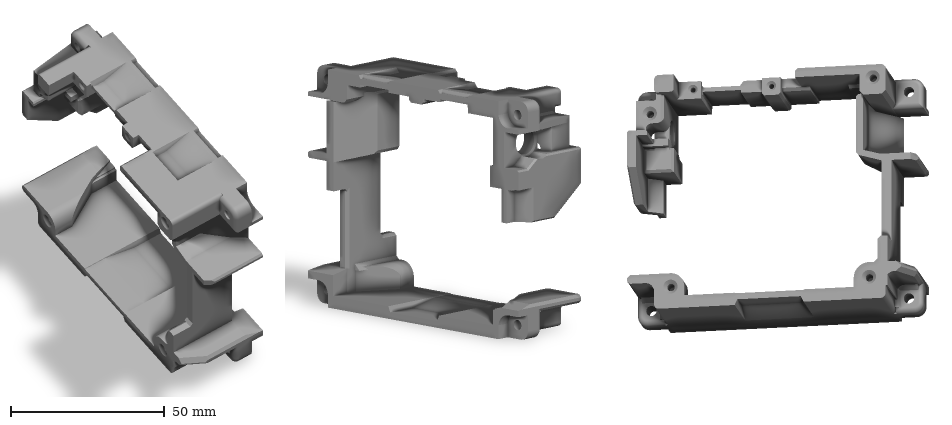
import cadquery as cq

WIDTH = 94.4
DEPTH = 29.6
HEIGHT = 78.9

TAB = 9.0
TAB_HEIGHT = 9.9
TAB_FRONT = 18.7
RECESS_FRONT = 25.2
RECESS_HEIGHT = 8.5
CORNER_RADIUS = 3.1
TAB_HOLE = 4.6
TAB_HOLE_DIAMETER = 3.4
EDGE_RADIUS = 1.5
INNER_BEVEL = 1.5

RAIL_UNDERSIDE = 75.0
THIN_UNDERSIDE = 75.9
MIDDLE_FRONT = 12.1
BOSS_FRONT = 9.8
FULL_RAIL_LEFT = 55.5
SMALL_BOSS_Z = 76.2
MIDDLE_BOSS_X = 45.9
MIDDLE_BOSS_WIDTH = 6.2
SMALL_BOSS_UNDERSIDE = 73.1
WINDOW_WIDTH = 14.4
WINDOW_FLOOR = 77.3
WINDOW_SIDE_SLOPE = 1.2
WINDOW_LEFTS = (21.9, 57.4)
NOTCH_LENGTH = 2.0
NOTCH_DEPTH = 1.1

BOTTOM_THICKNESS = 4.2
FLANGE_UNDERSIDE = 8.9
FLANGE_FILLET = 3.0
FLANGE_BEVEL = 0.9
FLANGE_DROP = 1.2
POST_WIDTH = 11.3
BOSS_SHOULDER = 19.6
JOG_LEFT = 35.6
JOG_RIGHT = 58.3
JOG_DEPTH = 1.9
JOG_BEVEL = 0.85
BOTTOM_BOSS_Z = 7.3
LEFT_BOSS_X = 14.35
LEFT_BOSS_RADIUS = 4.5
RIGHT_BOSS_X = 80.0
RIGHT_BOSS_RADIUS = 5.0

WALL_LEFT = 82.8
WALL_RIGHT = 86.1
WALL_FRONT = 7.55
WALL_BACK = 23.2
FOOT_TOP = 21.0
SHELF_BOTTOM = 48.5
SHELF_TOP = 50.8

BRACKET_BOTTOM = 38.9
BRACKET_TOP = 60.6
BRACKET_THICKNESS = 3.0
FLOOR_BOTTOM = 69.1
FLOOR_TOP = 71.3
BODY_LEFT = 2.5
BODY_RIGHT = 11.5
BODY_FRONT = 2.9
HOLE_WALL_LEFT = 6.5
HOLE_WALL_FRONT = 13.9

LARGE_SCREWS = (
    (7.0, 66.8, BODY_FRONT),
    (81.2, 74.6, 0),
    (LEFT_BOSS_X, BOTTOM_BOSS_Z, 0),
    (RIGHT_BOSS_X, BOTTOM_BOSS_Z, 0),
)
LARGE_MOUTH = 4.7
LARGE_BORE = 2.5
SMALL_BOSS_CENTERS = (19.9, MIDDLE_BOSS_X)
SMALL_MOUTH = 3.2
SMALL_BORE = 1.7
SCREW_DEPTH = 5.7


def box(x0, x1, y0, y1, z0, z1):
    return cq.Workplane("XY").box(x1 - x0, y1 - y0, z1 - z0, centered=False).translate((x0, y0, z0))


def along_x(points, x0, x1):
    """Prism with a (Y, Z) outline."""
    return cq.Workplane("YZ").polyline(points).close().extrude(x1 - x0).translate((x0, 0, 0))


def along_y(points, y0, y1):
    """Prism with an (X, Z) outline."""
    return cq.Workplane("XZ").polyline(points).close().extrude(y0 - y1).translate((0, y0, 0))


def along_z(points, z0, z1):
    """Prism with an (X, Y) outline."""
    return cq.Workplane("XY").polyline(points).close().extrude(z1 - z0).translate((0, 0, z0))


def cylinder_y(x, z, radius, y0, y1):
    return cq.Workplane("XZ").center(x, z).circle(radius).extrude(y0 - y1).translate((0, y0, 0))


def to_corner(shape, right, top):
    """Move a shape from the lower left corner to another corner of the frame."""
    if right:
        shape = shape.mirror("YZ").translate((WIDTH, 0, 0))
    if top:
        shape = shape.mirror("XY").translate((0, 0, HEIGHT))
    return shape


def corner_tab(free_height):
    """Tab whose front edges are rounded where they lie below free_height."""
    tab = box(0, TAB + EDGE_RADIUS, TAB_FRONT, DEPTH, 0, TAB_HEIGHT)
    tab = tab.edges("|Y and <X and <Z").fillet(CORNER_RADIUS)
    front_edges = cq.selectors.BoxSelector(
        (-0.9, TAB_FRONT - 0.9, -0.9), (TAB - 0.9, TAB_FRONT + 0.1, free_height)
    )
    return tab.faces("<Y").edges(front_edges).fillet(EDGE_RADIUS)


def inner_bevel():
    """Bevels where the front face of a bottom tab meets the rail end and the flange."""
    bevel_front = TAB_FRONT - INNER_BEVEL
    bevel_top = FLANGE_UNDERSIDE
    side = [(TAB, bevel_front), (TAB, TAB_FRONT), (TAB - INNER_BEVEL, TAB_FRONT)]
    upper = [(bevel_front, bevel_top), (TAB_FRONT, bevel_top), (TAB_FRONT, bevel_top - INNER_BEVEL)]
    return along_z(side, INNER_BEVEL, bevel_top).union(along_x(upper, INNER_BEVEL, TAB))


def corner_cut():
    """Recess behind a tab, rounded about its hole, with the hole itself."""
    recess = (
        cq.Workplane("XZ")
        .lineTo(TAB, 0)
        .lineTo(TAB, TAB_HOLE)
        .radiusArc((TAB_HOLE, RECESS_HEIGHT), -(TAB - TAB_HOLE))
        .lineTo(0, RECESS_HEIGHT)
        .close()
        .extrude(-(DEPTH - RECESS_FRONT))
        .translate((0, RECESS_FRONT, 0))
    )
    return recess.union(cylinder_y(TAB_HOLE, TAB_HOLE, TAB_HOLE_DIAMETER / 2, 0, DEPTH))


def end_rounding():
    """Rounding removed from the outer edge of a rail where it meets the open corner pocket."""
    profile = (
        cq.Workplane("XZ")
        .moveTo(TAB, 0)
        .lineTo(TAB + EDGE_RADIUS, 0)
        .radiusArc((TAB, EDGE_RADIUS), EDGE_RADIUS)
        .close()
    )
    return profile.extrude(-(TAB_FRONT + EDGE_RADIUS))


def screw_hole(x, z, front, mouth_diameter, bore_diameter):
    """Blind hole along Y with a conical mouth."""
    cone_depth = (mouth_diameter - bore_diameter) / 2
    profile = [
        (0, 0),
        (mouth_diameter / 2, 0),
        (bore_diameter / 2, cone_depth),
        (bore_diameter / 2, SCREW_DEPTH),
        (0, SCREW_DEPTH + bore_diameter / 2),
    ]
    hole = cq.Workplane("XY").polyline(profile).close().revolve(360, (0, 0, 0), (0, 1, 0))
    return hole.translate((x, front, z))


def top_rail():
    wall_end = 15.4
    boss_end = 22.7
    boss_left = MIDDLE_BOSS_X - MIDDLE_BOSS_WIDTH / 2
    boss_right = MIDDLE_BOSS_X + MIDDLE_BOSS_WIDTH / 2
    block_left = 76.9
    block_bottom = 68.9
    ramp_back = 13.2
    rail = box(TAB, wall_end, 0, DEPTH, SMALL_BOSS_UNDERSIDE, HEIGHT).edges("|Y and <Z").fillet(0.9)
    rail = rail.union(box(wall_end - 0.9, boss_end, BOSS_FRONT, DEPTH, SMALL_BOSS_UNDERSIDE, HEIGHT))
    rail = rail.union(box(boss_end, WIDTH - TAB, MIDDLE_FRONT, DEPTH, RAIL_UNDERSIDE, HEIGHT))
    middle_boss = box(boss_left, boss_right, BOSS_FRONT, DEPTH, SMALL_BOSS_UNDERSIDE, HEIGHT)
    rail = rail.union(middle_boss.edges("|Y and <Z").chamfer(0.8))
    full_depth = box(FULL_RAIL_LEFT, WIDTH - TAB, 0, MIDDLE_FRONT, THIN_UNDERSIDE, HEIGHT)
    rail = rail.union(full_depth.edges("|Y and <X and >Z").chamfer(0.9))
    screw_block = box(block_left, WIDTH - TAB, 0, DEPTH, block_bottom, HEIGHT)
    rail = rail.union(screw_block.edges("|Y and <Z").chamfer(1.2))
    ramp = [(MIDDLE_FRONT, RAIL_UNDERSIDE), (MIDDLE_FRONT, THIN_UNDERSIDE), (ramp_back, RAIL_UNDERSIDE)]
    return rail.cut(along_x(ramp, boss_right, block_left))


def window_cut(left):
    """Sloping pocket in the top, with the notch behind it and the hollow below it."""
    right = left + WINDOW_WIDTH
    middle = (left + right) / 2
    inner_left = left + WINDOW_SIDE_SLOPE
    inner_right = right - WINDOW_SIDE_SLOPE
    front = 11.6
    slope_foot = 16.2
    back = 26.4
    floor = [(back, HEIGHT), (slope_foot, WINDOW_FLOOR), (front, WINDOW_FLOOR), (front, HEIGHT)]
    sides = [(left, HEIGHT), (right, HEIGHT), (inner_right, WINDOW_FLOOR), (inner_left, WINDOW_FLOOR)]
    pocket = along_x(floor, left, right).intersect(along_y(sides, 0, DEPTH))
    notch = (
        cq.Workplane("XY", origin=(middle, DEPTH, HEIGHT))
        .rect(WINDOW_WIDTH - 0.6, 2 * NOTCH_LENGTH)
        .extrude(-NOTCH_DEPTH, taper=35)
    )
    hollow = box(left + 0.85, right - 0.85, 0, DEPTH, SMALL_BOSS_UNDERSIDE, THIN_UNDERSIDE)
    return pocket.union(notch).union(hollow)


def bottom_boss(center_x, radius):
    """Rounded screw boss of the left side with its flange running out to X = 0."""
    top = BOTTOM_BOSS_Z + radius
    outline = (
        cq.Workplane("XZ")
        .moveTo(TAB, 0)
        .lineTo(center_x + radius, 0)
        .lineTo(center_x + radius, BOTTOM_BOSS_Z)
        .radiusArc((center_x, top), -radius)
        .lineTo(FLANGE_BEVEL, top)
        .lineTo(0, top - FLANGE_BEVEL)
        .lineTo(0, FLANGE_UNDERSIDE + FLANGE_BEVEL)
        .lineTo(FLANGE_BEVEL, FLANGE_UNDERSIDE)
        .lineTo(TAB - FLANGE_FILLET, FLANGE_UNDERSIDE)
        .radiusArc((TAB, FLANGE_UNDERSIDE - FLANGE_FILLET), FLANGE_FILLET)
        .close()
    )
    boss = outline.extrude(-DEPTH)
    far_side = 28.3
    behind = [
        (POST_WIDTH, DEPTH),
        (POST_WIDTH, BOSS_SHOULDER),
        (19.2, 6.2),
        (far_side, 6.2),
        (far_side, DEPTH),
    ]
    boss = boss.cut(along_z(behind, BOTTOM_THICKNESS, top + 0.9))
    slope = [(WALL_BACK, top), (DEPTH, top - FLANGE_DROP), (DEPTH, top + 0.9), (WALL_BACK, top + 0.9)]
    return boss.cut(along_x(slope, 0, far_side))


def trimmed_left_boss():
    """Left boss whose flange narrows towards the back, above the tab."""
    corner = [(7.55, DEPTH), (POST_WIDTH, BOSS_SHOULDER), (POST_WIDTH, DEPTH)]
    boss = bottom_boss(LEFT_BOSS_X, LEFT_BOSS_RADIUS)
    return boss.cut(along_z(corner, RECESS_HEIGHT + 0.9, HEIGHT))


def trimmed_right_boss():
    """Right boss whose flange has its front corner cut off to a bevelled edge."""
    boss = to_corner(bottom_boss(WIDTH - RIGHT_BOSS_X, RIGHT_BOSS_RADIUS), True, False)
    cut_x = 3.9
    cut_y = 6.8
    boss = boss.cut(along_z([(WIDTH - cut_x, 0), (WIDTH, cut_y), (WIDTH, 0)], 0, HEIGHT))
    diagonal = cq.selectors.ParallelDirSelector(cq.Vector(cut_x, cut_y, 0))
    return boss.edges(diagonal).chamfer(1.4)


def bottom_jog():
    """Shape removed where the middle of the bottom rail steps down towards the back."""
    slope_front = 7.8
    slope_back = 19.2
    front_depth = 0.2
    top = BOTTOM_THICKNESS
    upper = [
        (0, top),
        (0, top - front_depth),
        (slope_front, top - front_depth),
        (slope_back, top - JOG_DEPTH),
        (DEPTH, top - JOG_DEPTH),
        (DEPTH, top),
    ]
    upper_sides = [
        (JOG_LEFT, top),
        (JOG_RIGHT, top),
        (JOG_RIGHT - JOG_BEVEL, top - JOG_DEPTH),
        (JOG_LEFT + JOG_BEVEL, top - JOG_DEPTH),
    ]
    lower = [(0, 0), (0, JOG_DEPTH), (slope_front, JOG_DEPTH), (slope_back, 0)]
    lower_sides = [
        (JOG_LEFT, 0),
        (JOG_RIGHT, 0),
        (JOG_RIGHT - JOG_BEVEL, JOG_DEPTH),
        (JOG_LEFT + JOG_BEVEL, JOG_DEPTH),
    ]
    upper_cut = along_x(upper, JOG_LEFT, JOG_RIGHT).intersect(along_y(upper_sides, 0, DEPTH))
    lower_cut = along_x(lower, JOG_LEFT, JOG_RIGHT).intersect(along_y(lower_sides, 0, DEPTH))
    return upper_cut.union(lower_cut)


def right_wall():
    wall_outline = [
        (0, BOTTOM_THICKNESS),
        (0, FOOT_TOP),
        (WALL_FRONT - 0.9, FOOT_TOP),
        (WALL_FRONT, FOOT_TOP + 0.9),
        (WALL_FRONT, SHELF_TOP),
        (DEPTH, SHELF_TOP),
        (DEPTH, BRACKET_BOTTOM),
        (WALL_BACK + 0.9, BRACKET_BOTTOM),
        (WALL_BACK, BRACKET_BOTTOM - 0.9),
        (WALL_BACK, BOTTOM_THICKNESS),
    ]
    wall = along_x(wall_outline, WALL_LEFT, WALL_RIGHT)
    boss_top = BOTTOM_BOSS_Z + RIGHT_BOSS_RADIUS
    back_bevel = [(WALL_LEFT, WALL_BACK - 0.9), (WALL_LEFT, WALL_BACK), (WALL_LEFT + 0.9, WALL_BACK)]
    wall = wall.cut(along_z(back_bevel, boss_top, BRACKET_BOTTOM))
    foot_bevel = [(WALL_LEFT, FOOT_TOP), (WALL_LEFT + 0.9, FOOT_TOP), (WALL_LEFT, FOOT_TOP - 0.9)]
    wall = wall.cut(along_y(foot_bevel, 0, WALL_FRONT - 0.9))
    boss_joint = [(WALL_LEFT, boss_top - 0.9), (WALL_LEFT, boss_top + 1.1), (WALL_LEFT - 2.1, boss_top - 0.9)]
    wall = wall.union(along_y(boss_joint, 0, BOSS_SHOULDER))
    shelf_outline = [
        (WALL_LEFT, WALL_FRONT),
        (92.4, WALL_FRONT),
        (WIDTH, 10.6),
        (WIDTH, DEPTH),
        (WALL_LEFT, DEPTH),
    ]
    shelf = along_z(shelf_outline, SHELF_BOTTOM, SHELF_TOP)
    return wall.union(shelf.edges(">X and (not |Z)").chamfer(0.7))


def right_clip():
    """Slanting cheek above the shelf, open to the front and to the right."""
    left = 74.3
    thickness = 2.4
    bend = 17.8
    top = 71.4
    lower_top = 68.5
    step_right = 78.35
    bevel = 0.8
    outer = [
        (left, WALL_FRONT),
        (WALL_RIGHT, WALL_FRONT),
        (WALL_RIGHT, DEPTH),
        (WALL_LEFT, DEPTH),
        (left, bend),
    ]
    inner = [
        (left + thickness, 0),
        (WIDTH, 0),
        (WIDTH, DEPTH),
        (WALL_RIGHT, DEPTH),
        (left + thickness, bend - bevel),
    ]
    sides = [
        (left, 51.9),
        (left, top - bevel),
        (left + bevel, top),
        (step_right, top),
        (step_right, lower_top),
        (WALL_RIGHT, lower_top),
        (WALL_RIGHT, SHELF_BOTTOM),
        (WALL_LEFT, SHELF_BOTTOM),
        (left + bevel, SHELF_TOP),
    ]
    hollow = [(left, 53.1), (left, HEIGHT), (WIDTH, HEIGHT), (WIDTH, SHELF_TOP), (82.4, SHELF_TOP)]
    clip = along_z(outer, SHELF_BOTTOM, HEIGHT).intersect(along_y(sides, 0, DEPTH))
    return clip.cut(along_z(inner, SHELF_BOTTOM, HEIGHT).intersect(along_y(hollow, 0, DEPTH)))


def left_body():
    """Screw block, hole wall and pocket floor below the upper left corner."""
    floor = [(0, 19.8), (0, DEPTH), (TAB + 0.9, DEPTH), (TAB + 0.9, BODY_FRONT), (BODY_LEFT, BODY_FRONT)]
    body = along_z(floor, FLOOR_BOTTOM, FLOOR_TOP)
    block_plan = [
        (BODY_LEFT, BODY_FRONT),
        (BODY_RIGHT - 0.9, BODY_FRONT),
        (BODY_RIGHT, BODY_FRONT + 0.9),
        (BODY_RIGHT, HOLE_WALL_FRONT),
        (HOLE_WALL_LEFT, HOLE_WALL_FRONT),
        (BODY_LEFT, 11.3),
    ]
    hole_wall_bottom = 54.75
    neck_right = 5.7
    neck_radius = 2.0
    neck_top = 61.55
    shoulder_radius = 2.3
    shoulder_bottom = neck_top + neck_radius
    block_face = (
        cq.Workplane("XZ")
        .moveTo(0, BRACKET_TOP - 1.9)
        .lineTo(neck_right, BRACKET_TOP - 1.9)
        .lineTo(neck_right, neck_top)
        .radiusArc((neck_right + neck_radius, shoulder_bottom), neck_radius)
        .lineTo(BODY_RIGHT - shoulder_radius, shoulder_bottom)
        .radiusArc((BODY_RIGHT, shoulder_bottom + shoulder_radius), -shoulder_radius)
        .lineTo(BODY_RIGHT, SMALL_BOSS_UNDERSIDE + 0.9)
        .lineTo(TAB, SMALL_BOSS_UNDERSIDE + 0.9)
        .lineTo(TAB, FLOOR_TOP)
        .lineTo(0, FLOOR_TOP)
        .close()
        .extrude(-DEPTH)
    )
    body = body.union(along_z(block_plan, BRACKET_TOP - 0.9, HEIGHT).intersect(block_face))
    body = body.union(box(HOLE_WALL_LEFT, BODY_RIGHT, HOLE_WALL_FRONT, DEPTH, hole_wall_bottom, FLOOR_TOP))
    wall_foot = [(TAB, FLOOR_TOP), (TAB, FLOOR_TOP + 0.8), (TAB - 0.8, FLOOR_TOP)]
    body = body.union(along_y(wall_foot, BODY_FRONT + 0.9, TAB_FRONT))
    inner_wall = box(TAB, BODY_RIGHT, HOLE_WALL_FRONT, DEPTH, FLOOR_TOP, SMALL_BOSS_UNDERSIDE + 0.9)
    return body.union(inner_wall)


def side_hole():
    """Hole along X through the left body, with a bevelled rim."""
    radius = 4.3
    rim = 0.6
    center = (0, 19.2, 64.3)
    length = 18.9
    hole = cq.Workplane("YZ").circle(radius).extrude(length)
    mouth = cq.Workplane("YZ").circle(radius + rim).workplane(offset=rim).circle(radius).loft()
    outside = cq.Workplane("YZ").circle(radius + rim).extrude(HOLE_WALL_LEFT)
    mouth = mouth.translate((HOLE_WALL_LEFT, 0, 0))
    return hole.union(outside).union(mouth).translate(center)


def left_bracket():
    """Side plate that steps inwards at the back, with its ledge, front lip and bevelled pad."""
    back_top = 57.0
    back_right = 7.55
    back_left = 5.3
    recess_top = 50.5
    ledge_front = 11.3
    lip_right = 6.6
    lip_bottom = 58.9
    pad_right = 12.8
    pad_bottom = 50.0
    pad_top = 58.15
    outline = [
        (0, BRACKET_TOP),
        (0, 48.2),
        (12.3, BRACKET_BOTTOM),
        (DEPTH, BRACKET_BOTTOM),
        (DEPTH, back_top),
        (25.1, back_top),
        (20.3, BRACKET_TOP),
    ]
    step = 22.7
    plan = [
        (0, 0),
        (0, step),
        (back_left, 25.9),
        (back_left, DEPTH),
        (back_right, DEPTH),
        (back_right, 24.3),
        (BRACKET_THICKNESS, 21.05),
        (BRACKET_THICKNESS, 0),
    ]
    plate = along_z(plan, BRACKET_BOTTOM, BRACKET_TOP)
    plate = plate.union(box(0, back_right, step - 1.9, DEPTH, recess_top, BRACKET_TOP))
    plate = plate.union(box(0, BODY_RIGHT, ledge_front, DEPTH, pad_top, BRACKET_TOP))
    lip = box(0, lip_right, 0, HOLE_WALL_FRONT, lip_bottom, BRACKET_TOP)
    lip = lip.edges("|Y and >X and >Z").chamfer(0.5)
    pad = box(BRACKET_THICKNESS, pad_right, HOLE_WALL_FRONT, DEPTH, pad_bottom, pad_top)
    bracket = plate.union(lip).union(pad.faces("<Y").chamfer(0.85))
    side = along_x(outline, 0, pad_right).faces("<X").edges("not |Z").chamfer(0.6)
    return bracket.intersect(side)


bottom_rail = box(TAB, WIDTH - TAB, 0, DEPTH, 0, BOTTOM_THICKNESS)
frame = top_rail().union(bottom_rail)
frame = frame.union(trimmed_left_boss()).union(trimmed_right_boss())
frame = frame.union(right_wall()).union(right_clip())
frame = frame.union(left_body()).union(left_bracket())
frame = frame.cut(side_hole())

for right in (False, True):
    for top in (False, True):
        rounded_height = TAB_HEIGHT + 0.9 if top else TAB_HEIGHT - 0.9
        frame = frame.union(to_corner(corner_tab(rounded_height), right, top))
        if not top:
            frame = frame.union(to_corner(inner_bevel(), right, top))
        frame = frame.cut(to_corner(corner_cut().union(end_rounding()), right, top))

for window_left in WINDOW_LEFTS:
    frame = frame.cut(window_cut(window_left))
frame = frame.cut(bottom_jog())

for x, z, front in LARGE_SCREWS:
    frame = frame.cut(screw_hole(x, z, front, LARGE_MOUTH, LARGE_BORE))
for x in SMALL_BOSS_CENTERS:
    frame = frame.cut(screw_hole(x, SMALL_BOSS_Z, BOSS_FRONT, SMALL_MOUTH, SMALL_BORE))

result = frame